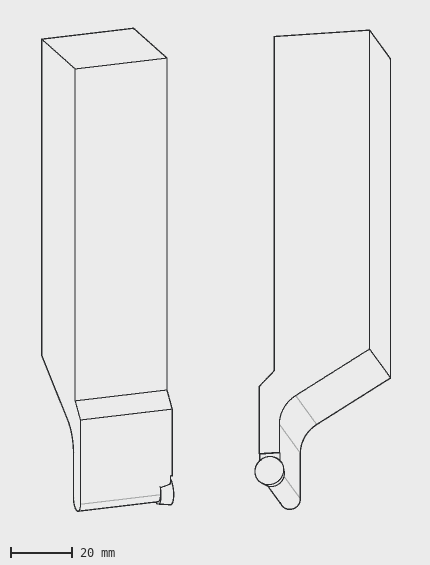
import cadquery as cq
import math

shank_size = 31.7
total_height = 152.4
slope_angle = 30.0
slope_start_height = 43.9
slope_fillet_radius = 10.8

insert_radius = 4.8
insert_back_radius = 4.1
insert_thickness = 4.1

neck_width = 6.7
neck_radius = neck_width / 2
insert_x = 38.1 - insert_radius
insert_z = insert_radius
neck_left = insert_x - neck_radius
neck_right = insert_x + neck_radius
shoulder_height = 33.7
shoulder_top = shoulder_height + neck_right - shank_size

relief_height = 10.8
relief_depth = 0.6


def make_insert():
    """Tapered disc, lying along Y, narrowing away from the +Y side."""
    return cq.Workplane(
        cq.Solid.makeCone(
            insert_radius,
            insert_back_radius,
            insert_thickness,
            pnt=cq.Vector(insert_x, shank_size, insert_z),
            dir=cq.Vector(0, -1, 0),
        )
    )


def make_holder_blank():
    """Shank and neck as one outline extruded along Y."""
    slope_end_height = slope_start_height - neck_left * math.tan(math.radians(slope_angle))
    blank = (
        cq.Workplane("XZ", origin=(0, shank_size, 0))
        .moveTo(0, total_height)
        .lineTo(shank_size, total_height)
        .lineTo(shank_size, shoulder_top)
        .lineTo(neck_right, shoulder_height)
        .lineTo(neck_right, insert_z)
        .threePointArc((insert_x, insert_z - neck_radius), (neck_left, insert_z))
        .lineTo(neck_left, slope_end_height)
        .lineTo(0, slope_start_height)
        .close()
        .extrude(shank_size)
    )
    corner = cq.NearestToPointSelector((neck_left, shank_size / 2, slope_end_height))
    return blank.edges("|Y").edges(corner).fillet(slope_fillet_radius)


def make_relief():
    """Block removed from the +Y side of the neck tip."""
    return (
        cq.Workplane("XY")
        .box(neck_width, relief_depth, relief_height, centered=(True, False, False))
        .translate((insert_x, shank_size - relief_depth, 0))
    )


insert = make_insert()
holder = make_holder_blank().cut(make_relief()).cut(insert)

result = cq.Compound.makeCompound([holder.val(), insert.val()])